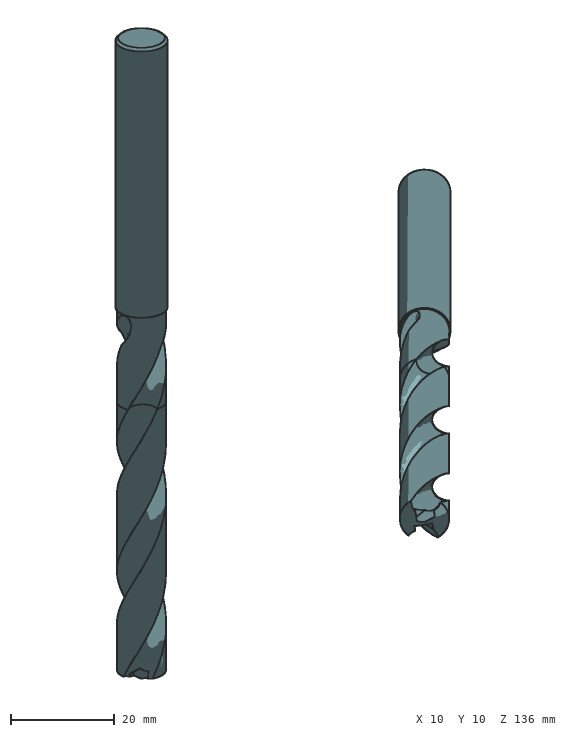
import cadquery as cq

overall_length = 136.0
shank_bottom = 78.9
cutting_top = 58.9
flute_top = 72.1
point_height = 1.9

shank_diameter = 10.0
drill_diameter = 9.5
shank_chamfer = 0.5

flute_count = 2
flute_lead = 55.0
flute_radius = 2.9
flute_centre_radius = 4.4
flute_start_angle = 93.0
runout_length = 10.9
runout_rise = 1.1
runout_sideways = 9.5

gash_height = 3.7
gash_web = 0.3
gash_top_offset = 1.8
gash_left = -1.4
gash_left_height = 1.6
gash_right_height = 2.5
gash_peak_x = 1.6
gash_right = 2.2

drill_radius = drill_diameter / 2
flute_twist = 360 * flute_top / flute_lead


def cylinder(diameter, bottom, top):
    return cq.Workplane("XY").workplane(offset=bottom).circle(diameter / 2).extrude(top - bottom)


def flute_cutter(start_angle):
    """One helical groove from the point to flute_top."""
    helix = (
        cq.Workplane("XY")
        .moveTo(flute_centre_radius, 0)
        .circle(flute_radius)
        .twistExtrude(flute_top, flute_twist)
    )
    return helix.rotate((0, 0, 0), (0, 0, 1), start_angle)


def runout_cutter(start_angle):
    """Straight end of a flute, leaning sideways and outwards until it leaves the surface."""
    end_angle = start_angle + flute_twist
    start = cq.Wire.makeCircle(
        flute_radius, cq.Vector(flute_centre_radius, 0, flute_top), cq.Vector(0, 0, 1)
    )
    runout = cq.Solid.extrudeLinear(start, [], cq.Vector(runout_rise, runout_sideways, runout_length))
    return cq.Workplane(runout).rotate((0, 0, 0), (0, 0, 1), end_angle)


def cut_flutes(body):
    for index in range(flute_count):
        start_angle = flute_start_angle + index * 360 / flute_count
        body = body.cut(flute_cutter(start_angle))
    return body


def gash_cutter():
    """Wedge on the -Y side whose sloped face thins the web near the point."""
    wedge = (
        cq.Workplane("YZ")
        .workplane(offset=gash_left)
        .polyline(
            [
                (-gash_web, 0),
                (-gash_top_offset, gash_height),
                (-drill_radius, gash_height),
                (-drill_radius, 0),
            ]
        )
        .close()
        .extrude(gash_right - gash_left)
    )
    outline = (
        cq.Workplane("XZ")
        .polyline(
            [
                (gash_left, 0),
                (gash_left, gash_left_height),
                (gash_peak_x, gash_height),
                (gash_right, gash_right_height),
                (gash_right, 0),
            ]
        )
        .close()
        .extrude(drill_radius)
    )
    return wedge.intersect(outline)


def make_cutting_part():
    """Lower body: conical point and fluted length."""
    blank = (
        cq.Workplane("XZ")
        .polyline([(0, 0), (drill_radius, point_height), (drill_radius, cutting_top), (0, cutting_top)])
        .close()
        .revolve(360, (0, 0, 0), (0, 1, 0))
    )
    body = cut_flutes(blank)
    for index in range(flute_count):
        body = body.cut(gash_cutter().rotate((0, 0, 0), (0, 0, 1), index * 360 / flute_count))
    return body


def make_shank_part():
    """Upper body: chamfered shank and a neck that carries the flute ends."""
    neck = cut_flutes(cylinder(drill_diameter, cutting_top, shank_bottom))
    for index in range(flute_count):
        neck = neck.cut(runout_cutter(flute_start_angle + index * 360 / flute_count))
    shank = cylinder(shank_diameter, shank_bottom, overall_length).faces(">Z").chamfer(shank_chamfer)
    return shank.union(neck)


cutting_part = make_cutting_part()
shank_part = make_shank_part()
result = cq.Compound.makeCompound([cutting_part.val(), shank_part.val()])